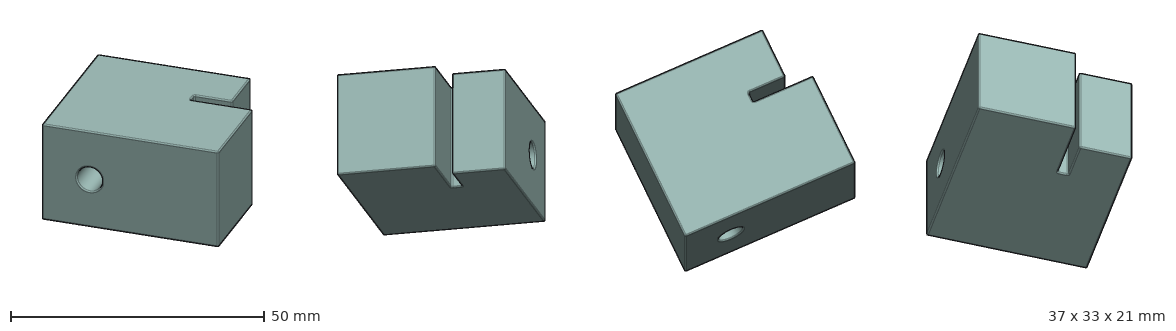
import cadquery as cq

length = 37.0
depth = 33.0
height = 21.0
rear_arm_length = 32.0
slot_floor_x = 24.0
slot_front_y = 20.0
slot_width = 2.2
slot_rear_y = slot_front_y + slot_width

hole_diameter = 5.3
hole_x = 10.0

edge_radius = 0.3

outline = [
    (0, 0),
    (length, 0),
    (length, slot_front_y),
    (slot_floor_x, slot_front_y),
    (slot_floor_x, slot_rear_y),
    (rear_arm_length, slot_rear_y),
    (rear_arm_length, depth),
    (0, depth),
]
block = cq.Workplane("XY").polyline(outline).close().extrude(height)

hole = (
    cq.Workplane("XZ")
    .center(hole_x, height / 2)
    .circle(hole_diameter / 2)
    .extrude(-depth)
)

result = block.cut(hole).faces("%PLANE").edges().fillet(edge_radius)